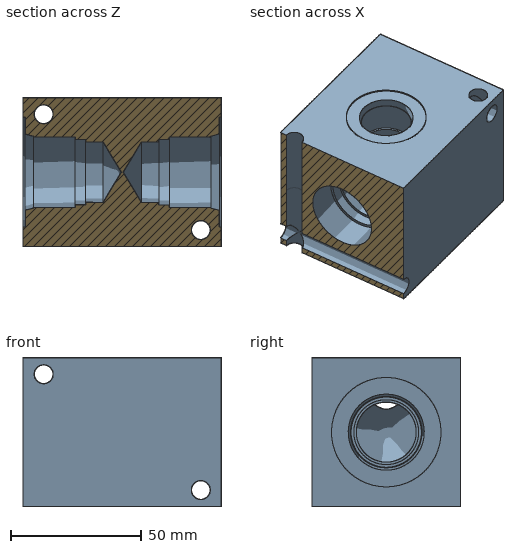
import cadquery as cq
import math

LENGTH = 76.2
WIDTH = 57.15
HEIGHT = 57.15

MOUNT_HOLE_DIAMETER = 7.14
MOUNT_END_MARGIN = 7.94
MOUNT_SIDE_MARGIN = 6.35

SEAT_HALF_ANGLE = math.radians(15)
DRILL_POINT_HALF_ANGLE = math.radians(59)

END_SPOTFACE_DIAMETER = 42.04
END_SPOTFACE_DEPTH = 0.8
END_SEAT_DIAMETER = 29.2
END_SEAT_DEPTH = 3.3
END_MAJOR_DIAMETER = 27.0
END_MINOR_DIAMETER = 24.92
END_DRILL_DIAMETER = 23.01
END_THREAD_DEPTH = 20.0
END_TAP_DEPTH = 24.0
END_DRILL_DISTANCE_FROM_CENTRE = 7.3
END_DRILL_DEPTH = LENGTH / 2 - END_DRILL_DISTANCE_FROM_CENTRE

TOP_SPOTFACE_DIAMETER = 30.63
TOP_SPOTFACE_DEPTH = 0.5
TOP_SEAT_DIAMETER = 20.6
TOP_SEAT_DEPTH = 2.5
TOP_MAJOR_DIAMETER = 19.05
TOP_DRILL_DIAMETER = 17.5
TOP_THREAD_DEPTH = 14.3
TOP_DRILL_DEPTH = 17.9


def port_cutter(spotface_diameter, spotface_depth, seat_diameter, seat_depth, bores):
    """Revolved cutter entering along -Z from the origin.

    bores lists (diameter, end depth) from the widest to the drill, which ends in a cone.
    """
    seat_end = spotface_depth + seat_depth
    seat_end_radius = seat_diameter / 2 - seat_depth * math.tan(SEAT_HALF_ANGLE)
    profile = [
        (0, 0),
        (spotface_diameter / 2, 0),
        (spotface_diameter / 2, -spotface_depth),
        (seat_diameter / 2, -spotface_depth),
        (seat_end_radius, -seat_end),
    ]
    start_depth = seat_end
    for diameter, end_depth in bores:
        profile.append((diameter / 2, -start_depth))
        profile.append((diameter / 2, -end_depth))
        start_depth = end_depth
    drill_radius = bores[-1][0] / 2
    point_length = drill_radius / math.tan(DRILL_POINT_HALF_ANGLE)
    profile.append((0, -start_depth - point_length))
    return cq.Workplane("XZ").polyline(profile).close().revolve(360, (0, 0, 0), (0, 1, 0))


def top_port():
    bores = [(TOP_MAJOR_DIAMETER, TOP_THREAD_DEPTH), (TOP_DRILL_DIAMETER, TOP_DRILL_DEPTH)]
    cutter = port_cutter(
        TOP_SPOTFACE_DIAMETER, TOP_SPOTFACE_DEPTH, TOP_SEAT_DIAMETER, TOP_SEAT_DEPTH, bores
    )
    return cutter.translate((0, 0, HEIGHT / 2))


def end_port(side):
    """Port on the X face given by side: -1 or +1."""
    bores = [
        (END_MAJOR_DIAMETER, END_THREAD_DEPTH),
        (END_MINOR_DIAMETER, END_TAP_DEPTH),
        (END_DRILL_DIAMETER, END_DRILL_DEPTH),
    ]
    cutter = port_cutter(
        END_SPOTFACE_DIAMETER, END_SPOTFACE_DEPTH, END_SEAT_DIAMETER, END_SEAT_DEPTH, bores
    )
    turned = cutter.rotate((0, 0, 0), (0, 1, 0), side * 90)
    return turned.translate((side * LENGTH / 2, 0, 0))


def mounting_holes(plane, side_length, drill_length):
    """Diagonal pair of through holes, drilled along the normal of the plane."""
    offset_x = LENGTH / 2 - MOUNT_END_MARGIN
    offset_side = side_length / 2 - MOUNT_SIDE_MARGIN
    centres = [(-offset_x, offset_side), (offset_x, -offset_side)]
    pair = cq.Workplane(plane).pushPoints(centres).circle(MOUNT_HOLE_DIAMETER / 2)
    return pair.extrude(drill_length / 2, both=True)


block = cq.Workplane("XY").box(LENGTH, WIDTH, HEIGHT)
block = block.cut(mounting_holes("XZ", HEIGHT, WIDTH))
block = block.cut(mounting_holes("XY", WIDTH, HEIGHT))
block = block.cut(top_port())
for side in (-1, 1):
    block = block.cut(end_port(side))

result = block